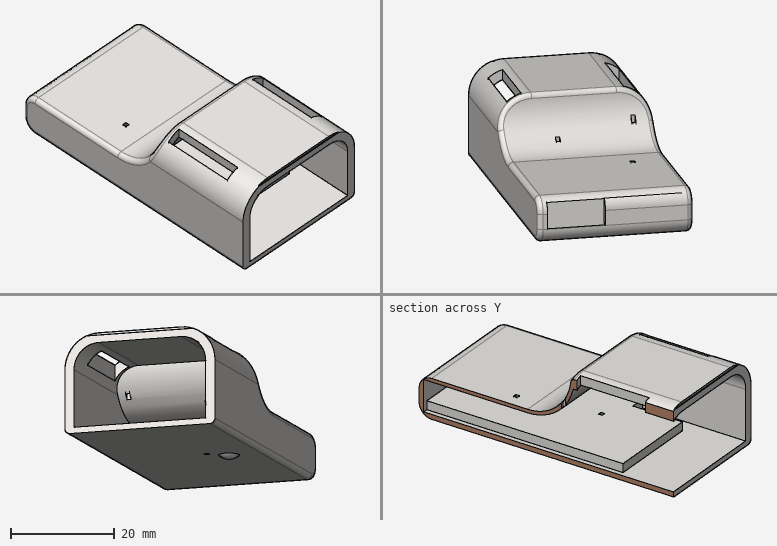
import cadquery as cq
import math

length = 59.6
width = 30.85
height = 19.6

shelf_height = 9.1
nose_radius = 3.05
sweep_start = 25.5
sweep_radius = 10.0
deck_corner_radius = 7.0
rim_radius = 1.0
end_step_height = 0.5
end_step_length = 0.2

nose_wall = 1.2
floor_thickness = 1.2
shelf_roof = 0.9
side_wall = 1.9
deck_roof = 1.95

window_y_min = 2.0

slot_start = 37.0
slot_length = 15.95
slot_inner_y = 10.2
slot_width = 2.85

pinhole_size = 0.85
pinhole_centers = [(20.7, -8.2), (31.65, 4.1), (33.85, -11.45)]
floor_hole_start = 31.8

platform_z = 3.15
platform_end = 47.1
platform_y_min = -10.4
platform_y_max = 10.15

bump_x = 29.9
bump_y = 7.85
bump_height = 0.8
bump_radius = 2.0

riser_x = sweep_start + sweep_radius
sweep_center_z = shelf_height + sweep_radius
shoulder_z = height - deck_corner_radius
half_width = width / 2
cavity_half_width = half_width - side_wall
cavity_shelf_z = shelf_height - shelf_roof
cavity_deck_z = height - deck_roof
tolerance = 0.0005


def box(x_range, y_range, z_range):
    """Axis-aligned block between the given limits."""
    corner = (x_range[0], y_range[0], z_range[0])
    size_x = x_range[1] - x_range[0]
    size_y = y_range[1] - y_range[0]
    size_z = z_range[1] - z_range[0]
    return cq.Workplane().box(size_x, size_y, size_z, centered=False).translate(corner)


def stepped_block(x_start, z_bottom, z_top, arc_radius, block_half_width, corner_radius):
    """Shelf, concave arc about the sweep axis and deck, with the deck's long edges rounded."""
    center = (sweep_start, sweep_center_z)
    block = box((x_start, length), (-block_half_width, block_half_width), (z_bottom, z_top))
    block = block.edges("|X and >Z").fillet(corner_radius)
    above_shelf = (
        cq.Workplane("XZ")
        .moveTo(x_start, sweep_center_z - arc_radius)
        .lineTo(sweep_start, sweep_center_z - arc_radius)
        .threePointArc(
            (
                center[0] + arc_radius * math.sin(math.pi / 4),
                center[1] - arc_radius * math.cos(math.pi / 4),
            ),
            (center[0] + arc_radius, center[1]),
        )
        .lineTo(center[0] + arc_radius, height)
        .lineTo(x_start, height)
        .close()
        .extrude(half_width, both=True)
    )
    return block.cut(above_shelf)


def is_rim_edge(edge):
    """True for the edges around both flat sides and over the crest of the arc."""
    center = edge.Center()
    if center.x > length - tolerance:
        return False
    if abs(center.y) > half_width - tolerance:
        on_shoulder_seam = edge.geomType() == "LINE" and abs(center.z - shoulder_z) < tolerance
        return not on_shoulder_seam
    on_riser = abs(center.x - riser_x) < tolerance and center.z > sweep_center_z + tolerance
    return on_riser or edge.geomType() == "BSPLINE"


def outer_body():
    """Outside shape with its nose and rim rounded and a small step at the +X end of the deck."""
    block = stepped_block(0, 0, height, sweep_radius, half_width, deck_corner_radius)
    block = block.edges("|Y and <X").fillet(nose_radius)
    rim_edges = [edge for edge in block.edges().vals() if is_rim_edge(edge)]
    block = block.newObject(rim_edges).fillet(rim_radius)
    end_step = box(
        (length - end_step_length, length),
        (-half_width, half_width),
        (height - end_step_height, height),
    )
    return block.cut(end_step)


def cavity():
    """Inside space that follows the outside shape."""
    return stepped_block(
        nose_wall,
        floor_thickness,
        cavity_deck_z,
        sweep_radius + shelf_roof,
        cavity_half_width,
        deck_corner_radius - side_wall,
    )


def nose_window():
    return box(
        (0, nose_wall),
        (window_y_min, cavity_half_width),
        (platform_z, cavity_shelf_z),
    )


def shoulder_slot(side):
    """Vertical slot into the cavity; side is +1 or -1 along Y."""
    slot_center_y = side * (slot_inner_y + slot_width / 2)
    return box(
        (slot_start, slot_start + slot_length),
        (slot_center_y - slot_width / 2, slot_center_y + slot_width / 2),
        (shelf_height, height),
    )


def pinhole(x, y):
    """Square hole down through the roof into the cavity."""
    half_size = pinhole_size / 2
    return box((x - half_size, x + half_size), (y - half_size, y + half_size), (platform_z, height))


def platform():
    """Raised part of the cavity floor, level with the window sill."""
    z_range = (floor_thickness, platform_z)
    wide_part = box((nose_wall, riser_x), (platform_y_min, cavity_half_width), z_range)
    narrow_part = box((nose_wall, platform_end), (platform_y_min, platform_y_max), z_range)
    return wide_part.union(narrow_part)


def floor_hole():
    """Hole through platform and floor, partly below the second pinhole."""
    hole_y = pinhole_centers[1][1]
    return box(
        (floor_hole_start, floor_hole_start + pinhole_size),
        (hole_y - pinhole_size / 2, hole_y + pinhole_size / 2),
        (0, platform_z),
    )


def bump():
    """Spherical cap below the underside."""
    sphere_radius = (bump_radius**2 + bump_height**2) / (2 * bump_height)
    sphere = cq.Workplane().sphere(sphere_radius)
    sphere = sphere.translate((bump_x, bump_y, sphere_radius - bump_height))
    below_floor = box(
        (bump_x - bump_radius, bump_x + bump_radius),
        (bump_y - bump_radius, bump_y + bump_radius),
        (-bump_height, floor_thickness / 2),
    )
    return sphere.intersect(below_floor)


result = outer_body().union(bump()).cut(cavity().cut(platform()))
result = result.cut(nose_window()).cut(floor_hole())
for side in (1, -1):
    result = result.cut(shoulder_slot(side))
for x, y in pinhole_centers:
    result = result.cut(pinhole(x, y))